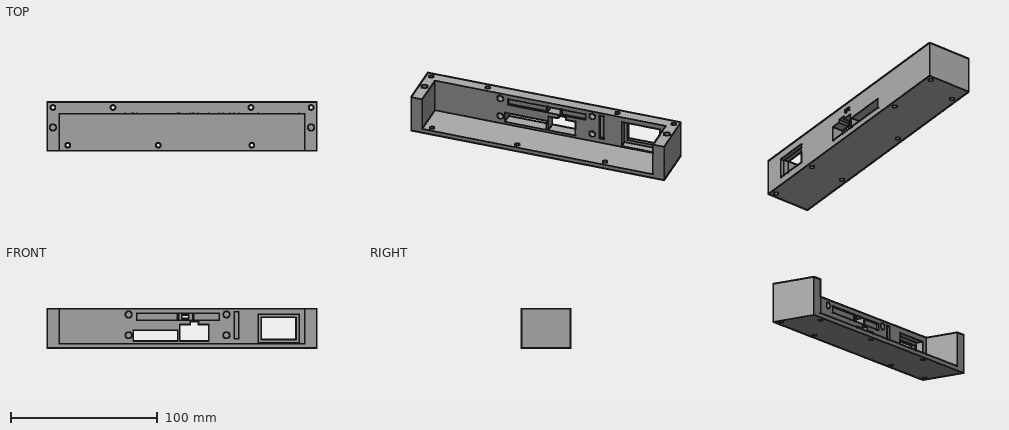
import cadquery as cq

length = 184.0
depth = 33.5
height = 27.0
end_wall = 8.1
back_wall = 8.1
floor = 3.1
wall_face = depth - back_wall

screw_diameter = 3.1
screw_inset = 3.9
back_screw_inset = 44.9
floor_screw_x = (14.0, 75.8, 139.7)
end_hole_diameter = 4.5
end_hole_y = 16.0
end_hole_depth = 14.7

mount_diameter = 4.5
mount_depth = 5.5
mount_x = (55.5, 122.4)
mount_z = (8.8, 23.0)

slot_left = 61.0
slot_right = 117.5
slot_bottom = 19.1
slot_top = 23.7
slot_depth = 1.5
middle_left = 89.8
middle_right = 99.2
middle_depth = 6.6
rib = 1.0
port_width = 4.6
port_height = 2.2
port_x = 94.2
port_z = 21.5

opening_bottom = 5.0
wide_left = 58.9
wide_right = 89.0
wide_top = 12.1
jack_left = 90.5
jack_right = 110.2
jack_top = 16.0
latch_left = 97.7
latch_right = 103.2
latch_top = 18.2

groove_left = 127.5
groove_right = 130.8
groove_bottom = 6.5
groove_top = 24.8
groove_depth = 1.7

window_left = 146.1
window_right = 169.6
window_bottom = 6.0
window_top = 21.0
rebate_margin = 2.2
rebate_depth = 5.3


def wall_cut(left, right, bottom, top, cut_depth=back_wall):
    """Rectangular cutter entering the back wall from the cavity."""
    return cq.Workplane("XY").box(
        right - left, cut_depth, top - bottom, centered=False
    ).translate((left, wall_face, bottom))


def vertical_holes(points, diameter, bottom, hole_height):
    """Round cutters standing on Z = bottom."""
    return (
        cq.Workplane("XY", origin=(0, 0, bottom))
        .pushPoints(points)
        .circle(diameter / 2)
        .extrude(hole_height)
    )


def make_body():
    body = cq.Workplane("XY").box(length, depth, height, centered=False)
    cavity = cq.Workplane("XY").box(
        length - 2 * end_wall, wall_face, height - floor, centered=False
    )
    return body.cut(cavity.translate((end_wall, 0, floor)))


def cut_vertical_holes(body):
    screw_points = [(x, screw_inset) for x in floor_screw_x]
    for inset in (screw_inset, back_screw_inset):
        for x in (inset, length - inset):
            screw_points.append((x, depth - screw_inset))
    body = body.cut(vertical_holes(screw_points, screw_diameter, 0, height))

    end_points = [(x, end_hole_y) for x in (screw_inset, length - screw_inset)]
    return body.cut(
        vertical_holes(end_points, end_hole_diameter, height - end_hole_depth, end_hole_depth)
    )


def cut_mounting_holes(body):
    holes = (
        cq.Workplane("XZ", origin=(0, wall_face, 0))
        .pushPoints([(x, z) for x in mount_x for z in mount_z])
        .circle(mount_diameter / 2)
        .extrude(-mount_depth)
    )
    return body.cut(holes)


def cut_divided_slot(body):
    sections = (
        (slot_left, middle_left - rib, slot_depth),
        (middle_left, middle_right, middle_depth),
        (middle_right + rib, slot_right, slot_depth),
    )
    for left, right, section_depth in sections:
        body = body.cut(wall_cut(left, right, slot_bottom, slot_top, section_depth))

    port = wall_cut(
        port_x - port_width / 2,
        port_x + port_width / 2,
        port_z - port_height / 2,
        port_z + port_height / 2,
    )
    return body.cut(port)


def cut_connector_openings(body):
    body = body.cut(wall_cut(wide_left, wide_right, opening_bottom, wide_top))
    body = body.cut(wall_cut(jack_left, jack_right, opening_bottom, jack_top))
    return body.cut(wall_cut(latch_left, latch_right, jack_top, latch_top))


def cut_groove(body):
    return body.cut(
        wall_cut(groove_left, groove_right, groove_bottom, groove_top, groove_depth)
    )


def cut_window(body):
    body = body.cut(wall_cut(window_left, window_right, window_bottom, window_top))
    rebate = wall_cut(
        window_left - rebate_margin,
        window_right + rebate_margin,
        window_bottom - rebate_margin,
        window_top + rebate_margin,
        rebate_depth,
    )
    return body.cut(rebate)


result = make_body()
result = cut_vertical_holes(result)
result = cut_mounting_holes(result)
result = cut_divided_slot(result)
result = cut_connector_openings(result)
result = cut_groove(result)
result = cut_window(result)